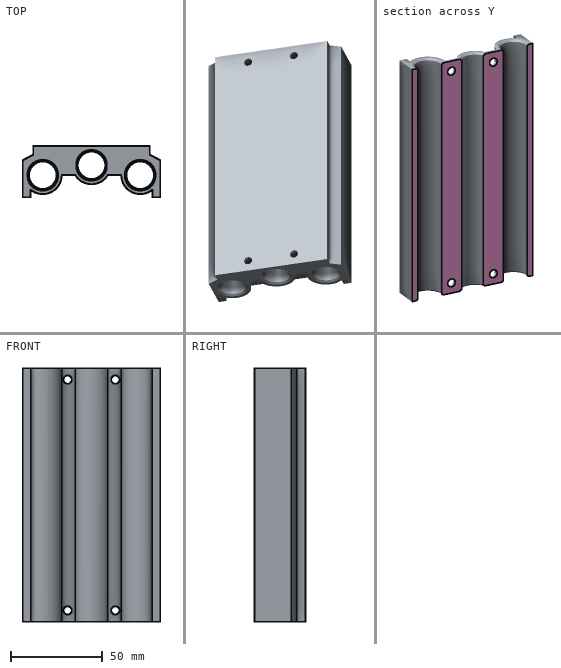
import cadquery as cq

width = 75.0
depth = 28.0
length = 138.0

back_notch_width = 5.7
back_notch_depth = 4.8
shoulder_depth = 7.9
web_thickness = 16.0
leg_thickness = 4.3

tube_radius = 10.4
bore_radius = 7.5
bore_chamfer = 1.0
tube_spacing = 26.5
side_tube_depth = 16.0
middle_tube_depth = 10.6

mount_hole_diameter = 4.4
mount_hole_spacing = 26.0
mount_hole_end_distance = 6.2

half_width = width / 2
back_y = depth / 2
front_y = -depth / 2
web_front_y = back_y - web_thickness
leg_inner_x = half_width - leg_thickness
tube_centers = [
    (-tube_spacing, back_y - side_tube_depth),
    (0, back_y - middle_tube_depth),
    (tube_spacing, back_y - side_tube_depth),
]


def make_body():
    """Channel-shaped extrusion: back web, sloped shoulders and two side legs."""
    right_half = [
        (half_width - back_notch_width, back_y),
        (half_width - back_notch_width, back_y - back_notch_depth),
        (half_width, back_y - shoulder_depth),
        (half_width, front_y),
        (leg_inner_x, front_y),
        (leg_inner_x, web_front_y),
    ]
    left_half = [(-x, y) for x, y in reversed(right_half)]
    return cq.Workplane("XY").polyline(right_half + left_half).close().extrude(length)


def add_tubes(body):
    """Round tube walls that bulge out of the front of the web."""
    tubes = cq.Workplane("XY").pushPoints(tube_centers).circle(tube_radius).extrude(length)
    return body.union(tubes)


def make_bore(center):
    """Full-length bore cutter, flared by a 45-degree chamfer at both ends."""
    x, y = center
    mouth_radius = bore_radius + bore_chamfer
    half_section = [
        (0, 0),
        (mouth_radius, 0),
        (bore_radius, bore_chamfer),
        (bore_radius, length - bore_chamfer),
        (mouth_radius, length),
        (0, length),
    ]
    bore = cq.Workplane("XZ").polyline(half_section).close().revolve(360, (0, 0), (0, 1))
    return bore.translate((x, y, 0))


def cut_mount_holes(body):
    """Four holes through the web, between the tubes and near both ends."""
    hole_spacing_z = length - 2 * mount_hole_end_distance
    holes = (
        cq.Workplane("XZ", origin=(0, back_y, length / 2))
        .rarray(mount_hole_spacing, hole_spacing_z, 2, 2)
        .circle(mount_hole_diameter / 2)
        .extrude(depth)
    )
    return body.cut(holes)


result = add_tubes(make_body())
for tube_center in tube_centers:
    result = result.cut(make_bore(tube_center))
result = cut_mount_holes(result)